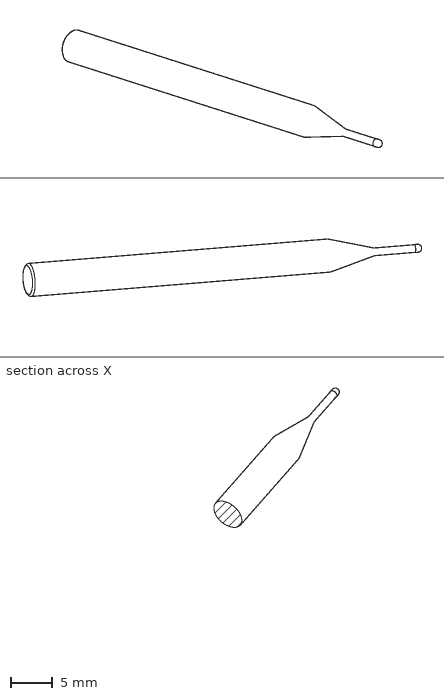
import cadquery as cq

overall_length = 50.0
shank_radius = 2.0
shank_chamfer = 0.25
cone_start = 38.25
neck_start = 44.0
neck_end = 49.1
neck_radius = 0.475
ball_radius = 0.5
ball_start = overall_length - ball_radius
ball_mid = ball_radius * 0.5**0.5

profile = (
    cq.Workplane("XY")
    .moveTo(0, 0)
    .lineTo(0, shank_radius - shank_chamfer)
    .lineTo(shank_chamfer, shank_radius)
    .lineTo(cone_start, shank_radius)
    .lineTo(neck_start, neck_radius)
    .lineTo(neck_end, neck_radius)
    .lineTo(neck_end, ball_radius)
    .lineTo(ball_start, ball_radius)
    .threePointArc((ball_start + ball_mid, ball_mid), (overall_length, 0))
    .close()
)

result = profile.revolve(360, (0, 0, 0), (1, 0, 0))